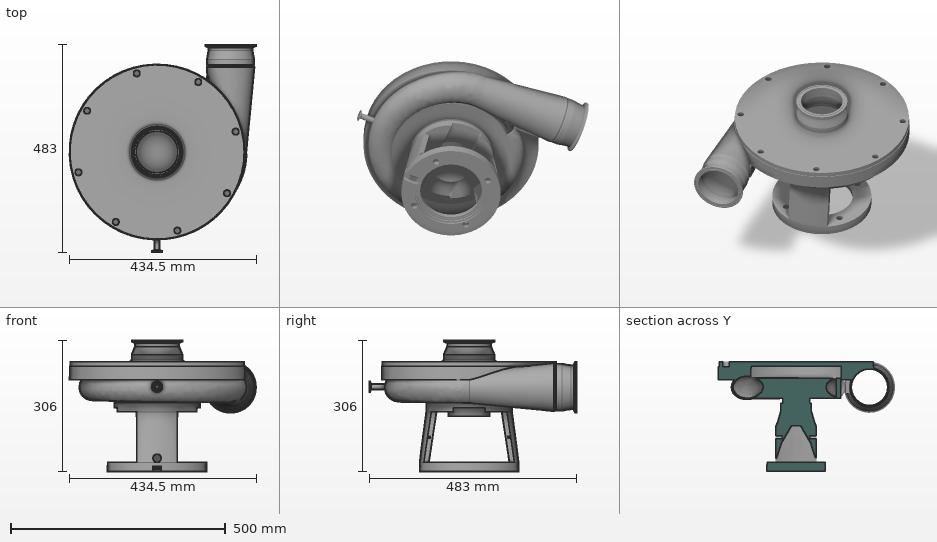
import cadquery as cq
import math


BASE_TOP = 22
HUB_BOTTOM = 128.5
LANTERN_BOTTOM = 139
NECK_BOTTOM = 160
BACK_PLATE_BOTTOM = 170
OUTLET_Z = 196.25
DRAIN_Z = 197.5
RIM_BOTTOM = 213.5
LID_BOTTOM = 245
LID_TOP = 256
INLET_TOP = 306

RIM_RADIUS = 204
LID_RADIUS = 202.75
LANTERN_RADIUS = 100
NECK_RADIUS = 98.5
HUB_RADIUS = 48.5
LID_HOLE_RADIUS = 7.5
LID_HOLE_CIRCLE = 189
LID_HOLE_COUNT = 8
LID_HOLE_START = 14.5
SLOT_WIDTH = 75
SLOT_HEIGHT = 10
SLOT_CORNER = 5

BASE_RADIUS = 115.5
BASE_BORE = 72
BASE_RECESSES = [(76, 10.5), (80, 9), (84, 5)]
BASE_HOLE_RADIUS = 7.5
BASE_HOLE_CIRCLE = 92.5
BASE_HOLE_COUNT = 4
LEG_WIDTH = 95
LEG_THICKNESS = 10.75
ACCESS_RADIUS = 9.5
ACCESS_Z = 31
NOTCH_HEIGHT = 12
SIDE_HOLE_RADIUS = 2.5
SIDE_HOLE_Y = 93
SIDE_HOLE_Z = 80
SIDE_HOLE_DEPTH = 15

OUTLET_X = 171
VOLUTE_START = 45
VOLUTE_STEP = 63
FULL_TURN = 360
CENTRE_GROWTH = 10 / 90
SECTION_GROWTH = 3.2 / 90
VOLUTE_END_RADIUS = 37
VOLUTE_WALL = 4
CHAMBER_FLOOR = RIM_BOTTOM + VOLUTE_WALL
DIFFUSER_RADIUS = 56
DIFFUSER_END = 197
CHAMBER_RADIUS = 140

PIPE_WALL = 3
FERRULE_RADIUS = 59.5
FERRULE_EDGE = 3.5
FERRULE_LENGTH = 7
FERRULE_NECK = 51.5
FERRULE_BORE = 48.5
GROOVE_DEPTH = 1.5
GROOVE_INNER = 53
GROOVE_OUTER = 57
OUTLET_FACE = 250
OUTLET_PIPE_RADIUS = 55
OUTLET_STRAIGHT = 236.5
OUTLET_CONE_END = 216
WELD_TOP = 202.5
WELD_ROOT = 201
WELD_ROOT_RADIUS = 53.5
INLET_STRAIGHT = 291
INLET_CONE_END = 272
INLET_FILLET = 5.5
INLET_BORE_CONE_TOP = 280
INLET_BORE_CONE_END = 252

DRAIN_FACE = 233
DRAIN_ROOT = 185
DRAIN_RADIUS = 6.5
DRAIN_BORE = 5
DRAIN_FLANGE_RADIUS = 12.5
DRAIN_EDGE = 2.5
DRAIN_FLANGE_LENGTH = 5
DRAIN_GROOVE_INNER = 8
DRAIN_GROOVE_OUTER = 10.5


def disc(radius, bottom, top):
    return cq.Workplane("XY").workplane(offset=bottom).circle(radius).extrude(top - bottom)


def around_z(profile):
    """Revolve a closed (radius, z) outline about the shaft axis."""
    return profile.close().revolve(FULL_TURN, (0, 0, 0), (0, 1, 0))


def around_outlet(points):
    """Revolve a closed (radius, y) outline about the outlet axis."""
    plane = cq.Workplane("XY", origin=(OUTLET_X, 0, OUTLET_Z))
    return plane.polyline(points).close().revolve(FULL_TURN, (0, 0, 0), (0, 1, 0))


def around_drain(points):
    """Revolve a closed (radius, distance toward -Y) outline about the drain axis."""
    plane = cq.Workplane("XY", origin=(0, 0, DRAIN_Z))
    outline = plane.polyline([(radius, -distance) for radius, distance in points]).close()
    return outline.revolve(FULL_TURN, (0, 0, 0), (0, 1, 0))


def groove_outline(inner, outer, face):
    return [(inner, face), (inner, face - GROOVE_DEPTH), (outer, face - GROOVE_DEPTH), (outer, face)]


def spiral(wall):
    """Volute body, shrunk by the given wall thickness."""
    sections = []
    for angle in range(VOLUTE_START, FULL_TURN + 1, VOLUTE_STEP):
        remaining = FULL_TURN - angle
        centre = OUTLET_X - CENTRE_GROWTH * remaining
        radius = VOLUTE_END_RADIUS - SECTION_GROWTH * remaining - wall
        radial = cq.Vector(math.cos(math.radians(angle)), math.sin(math.radians(angle)), 0)
        tangent = cq.Vector(-radial.y, radial.x, 0)
        origin = radial * centre + cq.Vector(0, 0, OUTLET_Z)
        plane = cq.Plane(origin, xDir=-radial, normal=tangent)
        sections.append(cq.Workplane(plane).circle(radius).wires().val())
    return cq.Workplane(cq.Solid.makeLoft(sections))


def tongue():
    """Web filling the corner between the casing rim and the outlet pipe."""
    bottom = 183
    web = (
        cq.Workplane("XY")
        .workplane(offset=bottom)
        .moveTo(116, 176)
        .threePointArc((142, 157), (160, 126))
        .lineTo(116, 110)
        .close()
    )
    return web.extrude(RIM_BOTTOM - bottom)


def outlet_pipe():
    return around_outlet([
        (0, 0),
        (VOLUTE_END_RADIUS, 0),
        (DIFFUSER_RADIUS, DIFFUSER_END),
        (WELD_ROOT_RADIUS, WELD_ROOT),
        (OUTLET_PIPE_RADIUS, WELD_TOP),
        (OUTLET_PIPE_RADIUS, OUTLET_CONE_END),
        (FERRULE_NECK, OUTLET_STRAIGHT),
        (FERRULE_NECK, OUTLET_FACE - FERRULE_LENGTH),
        (FERRULE_RADIUS, OUTLET_FACE - FERRULE_EDGE),
        (FERRULE_RADIUS, OUTLET_FACE),
        (0, OUTLET_FACE),
    ])


def outlet_bore():
    bore = around_outlet([
        (0, 0),
        (VOLUTE_END_RADIUS - VOLUTE_WALL, 0),
        (OUTLET_PIPE_RADIUS - PIPE_WALL, DIFFUSER_END),
        (OUTLET_PIPE_RADIUS - PIPE_WALL, OUTLET_CONE_END),
        (FERRULE_BORE, OUTLET_STRAIGHT),
        (FERRULE_BORE, OUTLET_FACE),
        (0, OUTLET_FACE),
    ])
    return bore.union(around_outlet(groove_outline(GROOVE_INNER, GROOVE_OUTER, OUTLET_FACE)))


def inlet_pipe():
    fillet_centre = (FERRULE_RADIUS + INLET_FILLET, LID_TOP + INLET_FILLET)
    fillet_reach = INLET_FILLET * math.sqrt(0.5)
    fillet_middle = (fillet_centre[0] - fillet_reach, fillet_centre[1] - fillet_reach)
    profile = (
        cq.Workplane("XZ")
        .moveTo(0, LID_TOP)
        .lineTo(fillet_centre[0], LID_TOP)
        .threePointArc(fillet_middle, (FERRULE_RADIUS, fillet_centre[1]))
        .lineTo(FERRULE_RADIUS, INLET_CONE_END)
        .lineTo(FERRULE_NECK, INLET_STRAIGHT)
        .lineTo(FERRULE_NECK, INLET_TOP - FERRULE_LENGTH)
        .lineTo(FERRULE_RADIUS, INLET_TOP - FERRULE_EDGE)
        .lineTo(FERRULE_RADIUS, INLET_TOP)
        .lineTo(0, INLET_TOP)
    )
    return around_z(profile)


def inlet_bore():
    mouth = FERRULE_RADIUS - PIPE_WALL
    bore = cq.Workplane("XZ").polyline([
        (0, CHAMBER_FLOOR),
        (mouth, CHAMBER_FLOOR),
        (mouth, INLET_BORE_CONE_END),
        (FERRULE_BORE, INLET_BORE_CONE_TOP),
        (FERRULE_BORE, INLET_TOP),
        (0, INLET_TOP),
    ])
    groove = cq.Workplane("XZ").polyline(groove_outline(GROOVE_INNER, GROOVE_OUTER, INLET_TOP))
    return around_z(bore).union(around_z(groove))


def drain_spigot():
    return around_drain([
        (0, DRAIN_ROOT),
        (DRAIN_RADIUS, DRAIN_ROOT),
        (DRAIN_RADIUS, DRAIN_FACE - DRAIN_FLANGE_LENGTH),
        (DRAIN_FLANGE_RADIUS, DRAIN_FACE - DRAIN_EDGE),
        (DRAIN_FLANGE_RADIUS, DRAIN_FACE),
        (0, DRAIN_FACE),
    ])


def drain_bore():
    inner_end = OUTLET_X
    bore = around_drain([(0, inner_end), (DRAIN_BORE, inner_end), (DRAIN_BORE, DRAIN_FACE), (0, DRAIN_FACE)])
    return bore.union(around_drain(groove_outline(DRAIN_GROOVE_INNER, DRAIN_GROOVE_OUTER, DRAIN_FACE)))


def lid_holes():
    ring = cq.Workplane("XY").workplane(offset=LID_BOTTOM)
    holes = ring.polarArray(LID_HOLE_CIRCLE, LID_HOLE_START, FULL_TURN, LID_HOLE_COUNT)
    return holes.circle(LID_HOLE_RADIUS).extrude(LID_TOP - LID_BOTTOM)


def lantern():
    """Mounting ring with a cross slot along X and a central hub."""
    ring = disc(LANTERN_RADIUS, LANTERN_BOTTOM, NECK_BOTTOM)
    slot = (
        cq.Workplane("XY")
        .workplane(offset=LANTERN_BOTTOM)
        .rect(2 * LANTERN_RADIUS, SLOT_WIDTH)
        .extrude(SLOT_HEIGHT)
        .edges("|X and >Z")
        .fillet(SLOT_CORNER)
    )
    neck = disc(NECK_RADIUS, NECK_BOTTOM, BACK_PLATE_BOTTOM)
    return ring.cut(slot).union(neck).union(disc(HUB_RADIUS, HUB_BOTTOM, NECK_BOTTOM))


def casing():
    body = disc(RIM_RADIUS, RIM_BOTTOM, LID_BOTTOM)
    body = body.union(disc(LID_RADIUS, LID_BOTTOM, LID_TOP))
    body = body.union(disc(CHAMBER_RADIUS, BACK_PLATE_BOTTOM, RIM_BOTTOM))
    for piece in (spiral(0), outlet_pipe(), drain_spigot(), tongue(), inlet_pipe(), lantern()):
        body = body.union(piece)
    chamber = disc(CHAMBER_RADIUS, CHAMBER_FLOOR, LID_BOTTOM)
    for hollow in (spiral(VOLUTE_WALL), outlet_bore(), chamber, inlet_bore(), drain_bore(), lid_holes()):
        body = body.cut(hollow)
    return body


def legs():
    """Two opposed segments of a conical shell, between base ring and lantern."""
    shell = around_z(cq.Workplane("XZ").polyline([
        (BASE_RADIUS - LEG_THICKNESS, BASE_TOP),
        (BASE_RADIUS, BASE_TOP),
        (LANTERN_RADIUS, LANTERN_BOTTOM),
        (LANTERN_RADIUS - LEG_THICKNESS, LANTERN_BOTTOM),
    ]))
    strip = cq.Workplane("XY").rect(LEG_WIDTH, 2 * BASE_RADIUS).extrude(LANTERN_BOTTOM)
    pair = shell.intersect(strip)
    for side in (-1, 1):
        drilled = (
            cq.Workplane("YZ", origin=(side * LEG_WIDTH / 2, 0, 0))
            .pushPoints([(-SIDE_HOLE_Y, SIDE_HOLE_Z), (SIDE_HOLE_Y, SIDE_HOLE_Z)])
            .circle(SIDE_HOLE_RADIUS)
            .extrude(-side * SIDE_HOLE_DEPTH)
        )
        pair = pair.cut(drilled)
    return pair


def pedestal():
    base = disc(BASE_RADIUS, 0, BASE_TOP).cut(disc(BASE_BORE, 0, BASE_TOP))
    for radius, depth in BASE_RECESSES:
        base = base.cut(disc(radius, 0, depth))
    bolt_angle = 45
    bolts = (
        cq.Workplane("XY")
        .polarArray(BASE_HOLE_CIRCLE, bolt_angle, FULL_TURN, BASE_HOLE_COUNT)
        .circle(BASE_HOLE_RADIUS)
        .extrude(BASE_TOP)
    )
    notch = cq.Workplane("XY").rect(2 * ACCESS_RADIUS, BASE_RADIUS).extrude(NOTCH_HEIGHT)
    notch = notch.translate((0, -BASE_RADIUS / 2 - BASE_BORE / 2, 0))
    access = cq.Workplane("XZ").center(0, ACCESS_Z).circle(ACCESS_RADIUS).extrude(BASE_RADIUS)
    return base.cut(bolts).union(legs()).cut(notch).cut(access)


result = casing().union(pedestal())